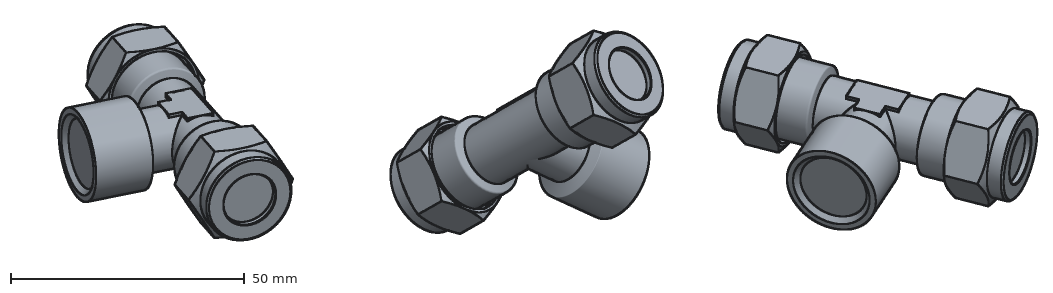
import cadquery as cq
import math

run_length = 66.0
pipe_radius = 7.0
body_radius = 9.05
body_inner_x = 12.15
body_end_angle = 15.0
body_edge_fillet = 0.45

nut_sides = 6
nut_flats = 21.0
nut_inner_x = 19.55
nut_outer_x = 29.3
nut_recess_radius = 9.8
nut_recess_depth = 2.0
nut_chamfer_angle = 30.0

collar_radius = 9.9
collar_chamfer = 0.45
socket_radius = 6.0
socket_depth = 1.45
socket_chamfer = 0.1

branch_end_y = -26.0
cup_radius = 10.3
cup_shoulder_y = -11.9
cup_back_angle = 15.0
cup_edge_fillet = 0.1
mouth_radius = 8.85
mouth_depth = 1.2
mouth_floor_radius = mouth_radius - mouth_depth

pad_half_width = 3.05
pad_reach = 2 * pad_half_width
pad_top_z = 7.05

nut_flat_radius = nut_flats / 2
nut_corner_radius = nut_flat_radius / math.cos(math.pi / nut_sides)
chamfer_slope = math.tan(math.radians(nut_chamfer_angle))
run_end_x = run_length / 2
recess_floor_x = nut_inner_x + nut_recess_depth


def revolve_about_x(points):
    """Revolve a closed (x, radius) outline about the X axis."""
    return cq.Workplane("XY").polyline(points).close().revolve(360, (0, 0, 0), (1, 0, 0))


def make_nut():
    """Hexagon nut with coned corners at both faces and a recess for the body."""
    prism = (
        cq.Workplane("YZ")
        .workplane(offset=nut_inner_x)
        .polygon(nut_sides, 2 * nut_corner_radius)
        .extrude(nut_outer_x - nut_inner_x)
    )
    inner_cone_length = (nut_corner_radius - nut_flat_radius) * chamfer_slope
    outer_cone_length = (nut_corner_radius - collar_radius) * chamfer_slope
    turned_blank = revolve_about_x([
        (nut_inner_x, 0),
        (nut_inner_x, nut_flat_radius),
        (nut_inner_x + inner_cone_length, nut_corner_radius),
        (nut_outer_x - outer_cone_length, nut_corner_radius),
        (nut_outer_x, collar_radius),
        (nut_outer_x, 0),
    ])
    recess = (
        cq.Workplane("YZ")
        .workplane(offset=nut_inner_x)
        .circle(nut_recess_radius)
        .extrude(nut_recess_depth)
    )
    return prism.intersect(turned_blank).cut(recess)


def make_body():
    """Pipe half and thicker body, with a coned end that blends into the body side."""
    cone_length = (body_radius - pipe_radius) * math.tan(math.radians(body_end_angle))
    body = revolve_about_x([
        (body_inner_x, 0),
        (body_inner_x, pipe_radius),
        (body_inner_x + cone_length, body_radius),
        (recess_floor_x, body_radius),
        (recess_floor_x, 0),
    ])
    shoulder_edge = body.edges("%CIRCLE").sort(lambda edge: edge.Center().x)[1]
    body = shoulder_edge.fillet(body_edge_fillet)
    pipe = cq.Workplane("YZ").circle(pipe_radius).extrude(recess_floor_x)
    return pipe.union(body)


def make_collar():
    """Core of the nut beyond the recess, and the collar with its blind socket."""
    return revolve_about_x([
        (recess_floor_x, 0),
        (recess_floor_x, collar_radius),
        (run_end_x - collar_chamfer, collar_radius),
        (run_end_x, collar_radius - collar_chamfer),
        (run_end_x, socket_radius + socket_chamfer),
        (run_end_x - socket_chamfer, socket_radius),
        (run_end_x - socket_depth, socket_radius),
        (run_end_x - socket_depth, 0),
    ])


def make_branch():
    """Neck and cup along -Y, with a coned back and a countersunk mouth."""
    cone_length = (cup_radius - pipe_radius) * math.tan(math.radians(cup_back_angle))
    outline = [
        (0, cup_shoulder_y),
        (pipe_radius, cup_shoulder_y),
        (cup_radius, cup_shoulder_y - cone_length),
        (cup_radius, branch_end_y),
        (mouth_radius, branch_end_y),
        (mouth_floor_radius, branch_end_y + mouth_depth),
        (0, branch_end_y + mouth_depth),
    ]
    cup = cq.Workplane("XY").polyline(outline).close().revolve(360, (0, 0, 0), (0, 1, 0))
    shoulder_edge = cup.edges("%CIRCLE").sort(lambda edge: -edge.Center().y)[1]
    cup = shoulder_edge.fillet(cup_edge_fillet)
    neck = cq.Workplane("XZ").circle(pipe_radius).extrude(-cup_shoulder_y)
    return neck.union(cup)


def make_pad():
    """T-shaped pad: a bar along the run and a stem along the branch."""
    bar = cq.Workplane("XY").rect(2 * pad_reach, 2 * pad_half_width).extrude(pad_top_z)
    stem = (
        cq.Workplane("XY")
        .center(0, -pad_reach / 2)
        .rect(2 * pad_half_width, pad_reach)
        .extrude(pad_top_z)
    )
    return bar.union(stem)


right_end = make_body().union(make_nut()).union(make_collar())
left_end = right_end.mirror("YZ")
result = right_end.union(left_end).union(make_branch()).union(make_pad())